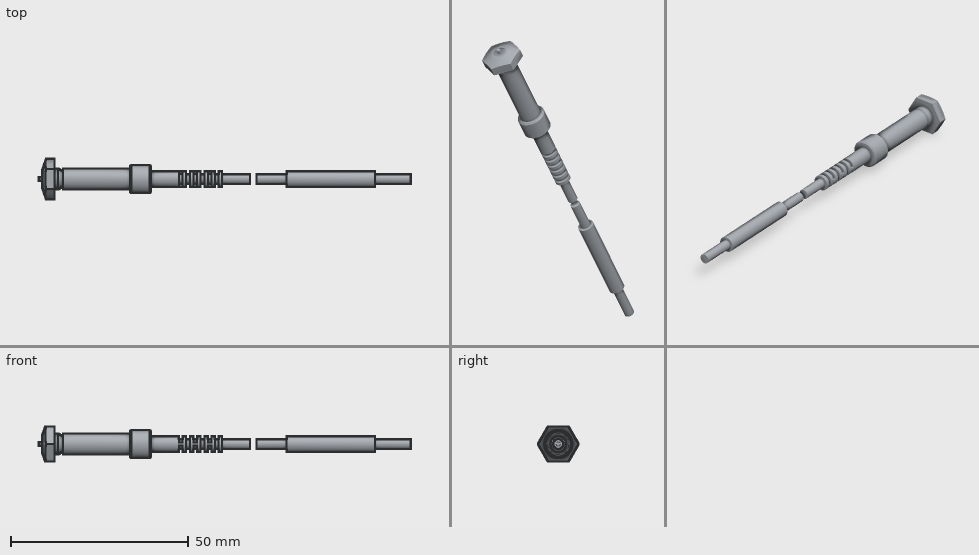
import cadquery as cq
import math

total_length = 105.0

pin_diameter = 1.2
pin_length = 0.9
cone_face_diameter = 4.8
recess_diameter = 3.6
recess_depth = 0.2
cone_start = pin_length
cone_depth = 1.2
hex_across_flats = 10.0
hex_across_corners = hex_across_flats / math.cos(math.radians(30))
hex_end = 4.5

barrel_diameter = 6.0
neck_end_diameter = 4.4
neck_flange_end = 5.5
barrel_start = 6.8
collar_diameter = 8.0
collar_start = 25.7
collar_end = 31.7
collar_chamfer = 0.4

cable_diameter = 2.8
relief_diameter = 4.5
slot_count = 6
slot_width = 1.0
first_slot_start = 39.6
relief_end = 51.8
slot_pitch = (relief_end - first_slot_start) / slot_count
web_height = 0.7

cable_break_start = 59.6
cable_break_end = 61.4
sleeve_start = 69.9
sleeve_end = 94.9
sleeve_diameter = relief_diameter


def cylinder(diameter, start, end):
    """Cylinder on the X axis between two X positions."""
    return cq.Workplane("YZ", origin=(start, 0, 0)).circle(diameter / 2).extrude(end - start)


def make_head():
    """Hexagon with corners on Y, a conical front, a shallow recess and a central pin."""
    hexagon = (
        cq.Workplane("YZ", origin=(cone_start, 0, 0))
        .polygon(6, hex_across_corners)
        .extrude(hex_end - cone_start)
    )
    face_radius = cone_face_diameter / 2
    rim_radius = hex_across_corners / 2
    cone = (
        cq.Workplane("XY")
        .moveTo(cone_start, 0)
        .lineTo(cone_start, face_radius)
        .lineTo(cone_start + cone_depth, rim_radius)
        .lineTo(hex_end, rim_radius)
        .lineTo(hex_end, 0)
        .close()
        .revolve(360, (0, 0, 0), (1, 0, 0))
    )
    recess_floor = cone_start + recess_depth
    recess = cylinder(recess_diameter, cone_start, recess_floor)
    pin = cylinder(pin_diameter, 0, recess_floor)
    return hexagon.intersect(cone).cut(recess).union(pin)


def make_barrel():
    """Neck flange, tapered neck, barrel and chamfered collar."""
    flange = cylinder(barrel_diameter, hex_end, neck_flange_end)
    neck = (
        cq.Workplane("XY")
        .moveTo(neck_flange_end, 0)
        .lineTo(neck_flange_end, barrel_diameter / 2)
        .lineTo(barrel_start, neck_end_diameter / 2)
        .lineTo(barrel_start, 0)
        .close()
        .revolve(360, (0, 0, 0), (1, 0, 0))
    )
    barrel = cylinder(barrel_diameter, barrel_start, collar_start)
    collar = cylinder(collar_diameter, collar_start, collar_end).edges().chamfer(collar_chamfer)
    return flange.union(neck).union(barrel).union(collar)


def make_strain_relief():
    """Sleeve cut by ring slots; every other slot keeps two webs, at +Y and -Y."""
    relief = cylinder(relief_diameter, collar_end, relief_end)
    for index in range(slot_count):
        start = first_slot_start + index * slot_pitch
        slot = cylinder(relief_diameter, start, start + slot_width)
        if index % 2 == 0:
            web = cq.Workplane("XY", origin=(start + slot_width / 2, 0, 0)).box(
                slot_width, relief_diameter, web_height
            )
            slot = slot.cut(web)
        relief = relief.cut(slot)
    return relief


def make_plunger():
    """Head, barrel, strain relief and near cable piece as one solid."""
    cable = cylinder(cable_diameter, collar_end, cable_break_start)
    return make_head().union(make_barrel()).union(make_strain_relief().union(cable))


def make_cable_end():
    """Far cable piece with its sleeve as one solid."""
    cable = cylinder(cable_diameter, cable_break_end, total_length)
    return cable.union(cylinder(sleeve_diameter, sleeve_start, sleeve_end))


plunger = make_plunger()
cable_end = make_cable_end()

result = cq.Compound.makeCompound([plunger.val(), cable_end.val()])